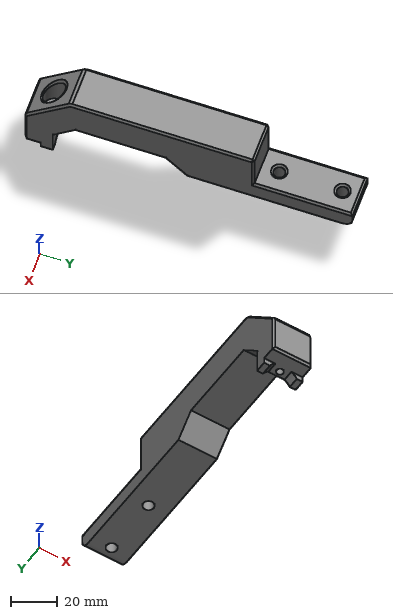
import cadquery as cq

length = 150.0
width = 20.0
height = 43.6

slope_size = 20.5
slope_bottom_z = height - slope_size
step_y = 105.0
shelf_z = 23.5
base_z = 13.6
tongue_radius = 5.0
edge_chamfer = 1.0

arch_z = 23.5
arch_front_y = 23.2
arch_back_y = 64.6
base_front_y = arch_back_y + (arch_z - base_z)

leg_depth = 12.9
leg_bend_z = arch_z - (arch_front_y - leg_depth)
lip_front_y = 7.4
lip_height = 3.0
groove_radius = 7.8
groove_axis_z = -3.6

screw_y = 10.0
screw_diameter = 3.5
head_diameter = 10.0
head_floor_z = 18.0

mount_diameter = 5.2
mount_end_distance = 8.0
mount_spacing = 29.0
mount_count = 2

tolerance = 0.02


class EdgesWhere(cq.Selector):
    """Selects the edges whose centre point passes a test."""

    def __init__(self, test):
        self.test = test

    def filter(self, edges):
        return [edge for edge in edges if self.test(edge.Center())]


def is_upper_edge(point):
    """True on the front, slope, top, back wall and tongue top, but not in the inside corner."""
    on_front = point.y < tolerance
    on_slope = abs(point.z - slope_bottom_z - point.y) < tolerance
    on_top = point.z > height - tolerance
    on_back_wall = abs(point.y - step_y) < tolerance and point.z > shelf_z + tolerance
    on_tongue = abs(point.z - shelf_z) < tolerance and point.y > step_y + tolerance
    return on_front or on_slope or on_top or on_back_wall or on_tongue


def make_body():
    outline = (
        cq.Workplane("YZ")
        .moveTo(0, lip_height)
        .lineTo(0, slope_bottom_z)
        .lineTo(slope_size, height)
        .lineTo(step_y, height)
        .lineTo(step_y, shelf_z)
        .lineTo(length, shelf_z)
        .lineTo(length, base_z + tongue_radius)
        .radiusArc((length - tongue_radius, base_z), tongue_radius)
        .lineTo(base_front_y, base_z)
        .lineTo(arch_back_y, arch_z)
        .lineTo(arch_front_y, arch_z)
        .lineTo(leg_depth, leg_bend_z)
        .lineTo(leg_depth, 0)
        .lineTo(lip_front_y, 0)
        .lineTo(lip_front_y, lip_height)
        .close()
    )
    body = outline.extrude(width / 2, both=True)
    return body.edges(EdgesWhere(is_upper_edge)).chamfer(edge_chamfer)


def upright_cylinder(diameter, y, bottom_z):
    """A cylinder long enough to leave through the top of the part."""
    return cq.Workplane("XY", origin=(0, y, bottom_z)).circle(diameter / 2).extrude(height)


def chamfer_rim(body, y, z):
    """Chamfer the mouth of the hole whose rim is centred at (0, y, z)."""
    rim_centre = cq.Vector(0, y, z)
    rim = EdgesWhere(lambda point: (point - rim_centre).Length < tolerance)
    return body.edges(rim).chamfer(edge_chamfer)


def cut_screw_hole(body):
    body = body.cut(upright_cylinder(head_diameter, screw_y, head_floor_z))
    body = body.cut(upright_cylinder(screw_diameter, screw_y, 0))
    return chamfer_rim(body, screw_y, slope_bottom_z + screw_y)


def cut_mounting_holes(body):
    for index in range(mount_count):
        hole_y = length - mount_end_distance - index * mount_spacing
        body = body.cut(upright_cylinder(mount_diameter, hole_y, 0))
        body = chamfer_rim(body, hole_y, shelf_z)
    return body


def cut_lip_groove(body):
    """Round groove along Y, stopped by a flat roof at the top of the lip."""
    groove = (
        cq.Workplane("XZ")
        .center(0, groove_axis_z)
        .circle(groove_radius)
        .extrude(-leg_depth)
    )
    lip_space = cq.Workplane("XY").box(width, leg_depth, lip_height, centered=(True, False, False))
    return body.cut(groove.intersect(lip_space))


result = cut_lip_groove(cut_mounting_holes(cut_screw_hole(make_body())))